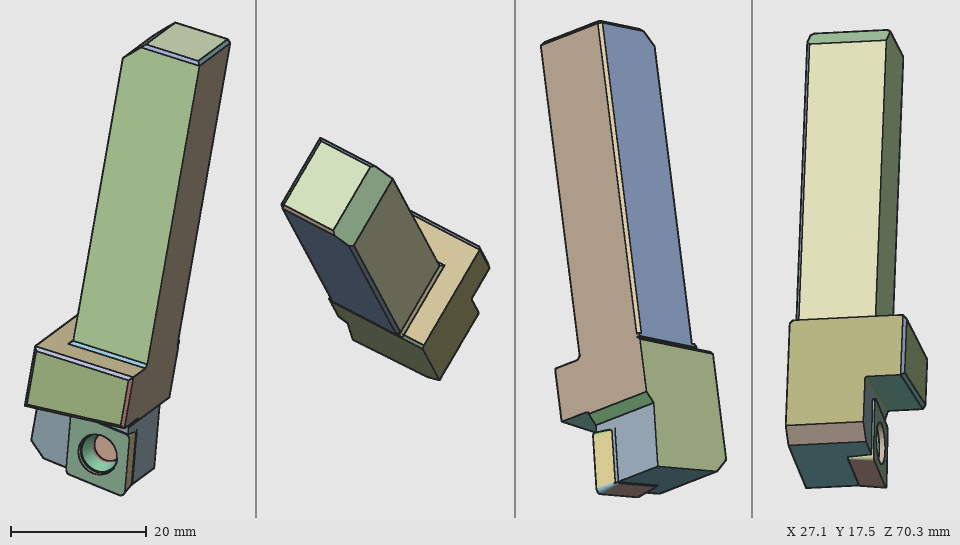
import cadquery as cq
import math

TOOL_TILT = 10.0
LEAD_ANGLE = 5.0
EDGE_BREAK = 0.5

SHANK_SIZE = 12.0
SHANK_HEIGHT = 49.1
SHANK_CORNER = 3.0

HEAD_WIDTH = 15.95
HEAD_DEPTH = 17.5
SEAT_FACE_DEPTH = 11.7
BLOCK_HEIGHT = 9.6
BLOCK_FILLET = 0.4
HEAD_LEFT_HEIGHT = 16.9
HEAD_CORNER = 2.4
NECK_DROP = 8.65
NECK_CUT_HEIGHT = 1.55

INSERT_X = -5.2
INSERT_Z = -15.7
INSERT_WIDTH = 9.55
INSERT_THICKNESS = 4.0
INSERT_RELIEF = 7.0
INSERT_CORNER_ANGLE = 80.0
INSERT_NOSE_RADIUS = 0.8
INSERT_HOLE_DIAMETER = 4.4
INSERT_MOUTH_DIAMETER = 6.2
INSERT_MOUTH_DEPTH = 0.85
INSERT_CONE_DIAMETER = 5.85
INSERT_CONE_END = 3.15
BOTTOM_OVERHANG = 0.7
SIDE_OVERHANG = 0.4

LEAD_SLOPE = math.tan(math.radians(LEAD_ANGLE))
LEAD_COSINE = math.cos(math.radians(LEAD_ANGLE))
UNDERSIDE_DROP = (INSERT_WIDTH / 2 - BOTTOM_OVERHANG) / LEAD_COSINE
NECK_REACH = (INSERT_WIDTH / 2 - SIDE_OVERHANG) / LEAD_COSINE


def plate(points, depth):
    """Extrude an X-Z outline from the back plane towards the front."""
    return cq.Workplane("XZ").polyline(points).close().extrude(depth)


def underside_height(x):
    """Z of the sloping underside of the head, parallel to the insert edge."""
    return INSERT_Z - UNDERSIDE_DROP - (x - INSERT_X) * LEAD_SLOPE


def neck_side(z):
    """X of the lower right side of the head, parallel to the insert edge."""
    return INSERT_X + NECK_REACH - (z - INSERT_Z) * LEAD_SLOPE


def make_insert_blank():
    """Tapered rhombus with its nose pointing down to the right, front at full size."""
    corner = math.radians(INSERT_CORNER_ANGLE)
    half_side = INSERT_WIDTH / math.sin(corner) / 2
    half_long = 2 * half_side * math.cos(corner / 2)
    half_short = 2 * half_side * math.sin(corner / 2)
    outline = (
        cq.Sketch()
        .polygon([(half_long, 0), (0, half_short), (-half_long, 0), (0, -half_short), (half_long, 0)])
        .vertices()
        .fillet(INSERT_NOSE_RADIUS)
    )
    return (
        cq.Workplane("XZ")
        .placeSketch(outline)
        .extrude(-INSERT_THICKNESS, taper=INSERT_RELIEF)
        .rotate((0, 0, 0), (0, 1, 0), INSERT_CORNER_ANGLE / 2 + LEAD_ANGLE)
        .translate((INSERT_X, -SHANK_SIZE, INSERT_Z))
    )


def make_insert_hole():
    """Screw hole with a shallow counterbore and a cone at the front."""
    radius = INSERT_HOLE_DIAMETER / 2
    mouth = INSERT_MOUTH_DIAMETER / 2
    return (
        cq.Workplane("XY")
        .moveTo(0, 0)
        .lineTo(mouth, 0)
        .lineTo(mouth, INSERT_MOUTH_DEPTH)
        .lineTo(INSERT_CONE_DIAMETER / 2, INSERT_MOUTH_DEPTH)
        .lineTo(radius, INSERT_CONE_END)
        .lineTo(radius, INSERT_THICKNESS)
        .lineTo(0, INSERT_THICKNESS)
        .close()
        .revolve(360, (0, 0, 0), (0, 1, 0))
        .translate((INSERT_X, -SHANK_SIZE, INSERT_Z))
    )


def make_shank():
    left = -SHANK_SIZE
    outline = [
        (0, 0),
        (0, SHANK_HEIGHT),
        (left + SHANK_CORNER, SHANK_HEIGHT),
        (left, SHANK_HEIGHT - SHANK_CORNER),
        (left, 0),
    ]
    shank = plate(outline, SHANK_SIZE)
    back_edges = shank.edges("|Z and >Y")
    top_edges = shank.faces(">Z").edges("|X or >X")
    return shank.newObject(back_edges.vals() + top_edges.vals()).chamfer(EDGE_BREAK)


def make_shank_foot():
    """Sloping band where the left and front sides of the shank meet the shoulder."""
    side = SHANK_SIZE + EDGE_BREAK
    band = cq.Workplane("XY").rect(2 * side, 2 * side).workplane(offset=EDGE_BREAK)
    band = band.rect(2 * SHANK_SIZE, 2 * SHANK_SIZE).loft(ruled=True)
    quarter = cq.Workplane("XY").box(side, side, EDGE_BREAK, centered=False)
    return band.intersect(quarter.translate((-side, -side, 0)))


def make_head_base():
    """Lower body of the head, up to the face around the insert."""
    left = -HEAD_WIDTH
    chamfer_x = left + HEAD_CORNER
    neck_z = -NECK_DROP - NECK_CUT_HEIGHT
    tip_x = INSERT_X + (NECK_REACH + UNDERSIDE_DROP * LEAD_SLOPE) / (1 - LEAD_SLOPE**2)
    outline = [
        (left, 0),
        (0, 0),
        (0, -NECK_DROP),
        (neck_side(neck_z), neck_z),
        (tip_x, underside_height(tip_x)),
        (chamfer_x, underside_height(chamfer_x)),
        (left, -HEAD_LEFT_HEIGHT),
    ]
    base = plate(outline, SEAT_FACE_DEPTH)
    return base.faces(">Z").edges(">Y").chamfer(EDGE_BREAK)


def make_front_block():
    """Block that stands out in front of the shank, with a sloping underside."""
    right_height = BLOCK_HEIGHT - HEAD_WIDTH * LEAD_SLOPE
    outline = [(-HEAD_WIDTH, 0), (0, 0), (0, -right_height), (-HEAD_WIDTH, -BLOCK_HEIGHT)]
    block = plate(outline, HEAD_DEPTH - SEAT_FACE_DEPTH).translate((0, -SEAT_FACE_DEPTH, 0))
    return block.faces("<Y").edges().chamfer(EDGE_BREAK)


def make_holder():
    head = make_head_base().union(make_front_block())
    middle_height = BLOCK_HEIGHT - HEAD_WIDTH / 2 * LEAD_SLOPE
    inside_corner = cq.selectors.NearestToPointSelector(
        (-HEAD_WIDTH / 2, -SEAT_FACE_DEPTH, -middle_height)
    )
    head = head.edges(inside_corner).fillet(BLOCK_FILLET)
    return head.union(make_shank()).union(make_shank_foot()).cut(make_insert_blank())


def tilt(body):
    return body.rotate((0, 0, 0), (0, 1, 0), TOOL_TILT)


holder = tilt(make_holder())
insert = tilt(make_insert_blank().cut(make_insert_hole()))

result = cq.Compound.makeCompound([holder.val(), insert.val()])